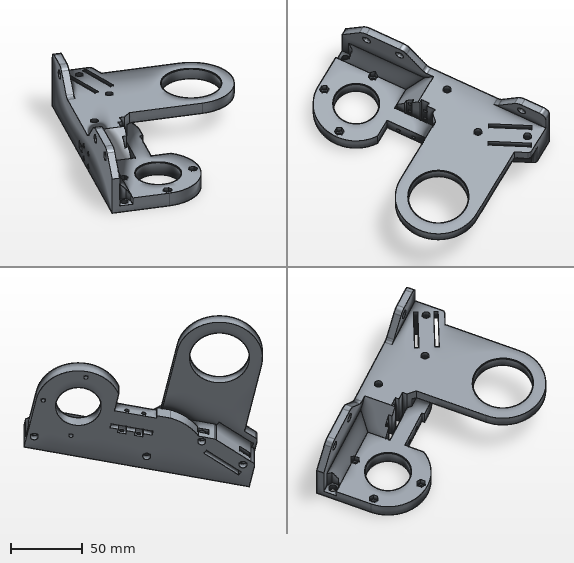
import cadquery as cq
import math

LENGTH = 160.0
HEIGHT = 43.0
DECK_TOP = 26.7
DECK_THICKNESS = 8.2
LOW_DECK_TOP = 10.0
WALL_THICKNESS = 5.5
WALL_ROUND = 5.0
SLANT_ROUND = 3.0
SLANT_ANGLE = 25.0

EAR_RADIUS = 8.0
EAR_HOLE_RADIUS = 3.0
EAR_HOLE_X = (19.0, 114.9, 140.8)

RING_RADIUS = 30.0
BIG_RING_X = 40.2
BIG_RING_Y = 89.1
BIG_BORE_RADIUS = 20.8
SMALL_RING_X = LENGTH - RING_RADIUS
SMALL_RING_Y = 41.1
SMALL_BORE_RADIUS = 15.8
BORE_CHAMFER = 0.5

DECK_SHOULDER_Y = 32.6
DECK_STEP_X = 88.2
LOW_DECK_X = 104.8
SLIT_LEFT = 75.0
SLIT_FRONT = 28.3
SLIT_BACK = 31.7
ARM_BACK = 42.9
ARM_TIP_Y = 45.0
BLOCK_SLANT_Y = 19.5
BLOCK_BACK = 34.2

SCREW_RADIUS = 2.7
NUT_FLATS = 8.2
NUT_SLOT_FLOOR = 5.1
NUT_SLOT_HEIGHT = 5.0
BACK_NUT_SCREWS = ((8.2, 17.3), (40.2, 30.2))
FRONT_NUT_SCREW = (75.0, 10.0)
CORNER_SCREW = (154.9, 10.0)
SMALL_SCREW_RADIUS = 1.5
SMALL_NUT_FLATS = 5.6
SMALL_NUT_DEPTH = 5.0
RING_SCREW_CIRCLE = 25.0
SENSOR_HOLE_X = (84.0, 96.0)
SENSOR_HOLE_Z = (3.2, 13.1)
SENSOR_NUT_WIDTH = 5.8
SENSOR_NUT_DEPTH = 2.7

STRAP_SLOT_LENGTH = 30.0
STRAP_SLOT_WIDTH = 3.0
STRAP_SLOT_CENTERS = ((16.2, 28.6), (22.4, 16.0))

DECK_BOTTOM = DECK_TOP - DECK_THICKNESS
DECK_LEFT = BIG_RING_X - RING_RADIUS
DECK_RIGHT = BIG_RING_X + RING_RADIUS
EAR_HOLE_Z = HEIGHT - EAR_RADIUS
SLANT = math.tan(math.radians(SLANT_ANGLE))
DIAGONAL = EAR_RADIUS * math.sqrt(0.5)
CUT_DEPTH = LENGTH
HALF_HEX_TURN = 30
HEX_FLATS_PER_CORNERS = math.cos(math.radians(HALF_HEX_TURN))
HALF_EAR_ARC = math.radians(22.5)


def prism(points, bottom, top):
    """Upright solid over a polygon in plan."""
    return cq.Workplane("XY").workplane(offset=bottom).polyline(points).close().extrude(top - bottom)


def through_holes(places, radius):
    """Vertical cylinders through the whole height."""
    return cq.Workplane("XY").pushPoints(places).circle(radius).extrude(HEIGHT)


def round_edge(body, radius, x, y, z):
    """Round the edge whose middle is nearest to the given point."""
    return body.edges(cq.selectors.NearestToPointSelector((x, y, z))).fillet(radius)


def hexagon(x, y, flats, bottom, height):
    """Hexagonal prism with a corner pointing along +Y."""
    corner_circle = flats / HEX_FLATS_PER_CORNERS
    body = cq.Workplane("XY").polygon(6, corner_circle).extrude(height)
    return body.rotate((0, 0, 0), (0, 0, 1), HALF_HEX_TURN).translate((x, y, bottom))


def front_wall():
    """Wall along the front with two raised ears joined by 45 degree flanks."""
    left_x, middle_x, right_x = EAR_HOLE_X
    flank_top = EAR_HOLE_Z + DIAGONAL
    flank_run = DIAGONAL + flank_top - DECK_TOP
    right_flank_end = flank_top - (LENGTH - right_x - DIAGONAL)
    arc_mid_x = EAR_RADIUS * math.sin(HALF_EAR_ARC)
    arc_mid_z = EAR_HOLE_Z + EAR_RADIUS * math.cos(HALF_EAR_ARC)
    wall = (
        cq.Workplane("XZ")
        .lineTo(0, HEIGHT)
        .lineTo(left_x, HEIGHT)
        .threePointArc((left_x + arc_mid_x, arc_mid_z), (left_x + DIAGONAL, flank_top))
        .lineTo(left_x + flank_run, DECK_TOP)
        .lineTo(middle_x - flank_run, DECK_TOP)
        .lineTo(middle_x - DIAGONAL, flank_top)
        .threePointArc((middle_x - arc_mid_x, arc_mid_z), (middle_x, HEIGHT))
        .lineTo(right_x, HEIGHT)
        .threePointArc((right_x + arc_mid_x, arc_mid_z), (right_x + DIAGONAL, flank_top))
        .lineTo(LENGTH, right_flank_end)
        .lineTo(LENGTH, 0)
        .close()
        .extrude(-WALL_THICKNESS)
    )
    middle_y = WALL_THICKNESS / 2
    rounded_corners = (
        (0, HEIGHT),
        (left_x + flank_run, DECK_TOP),
        (middle_x - flank_run, DECK_TOP),
    )
    for x, z in rounded_corners:
        wall = round_edge(wall, WALL_ROUND, x, middle_y, z)
    holes = (
        cq.Workplane("XZ")
        .pushPoints([(x, EAR_HOLE_Z) for x in EAR_HOLE_X])
        .circle(EAR_HOLE_RADIUS)
        .extrude(-WALL_THICKNESS)
    )
    return wall.cut(holes)


def upper_deck():
    """High plate ending in the big ring, with a slanted left shoulder."""
    slant_start_y = DECK_SHOULDER_Y - SLANT * DECK_LEFT
    deck = (
        cq.Workplane("XY")
        .workplane(offset=DECK_BOTTOM)
        .lineTo(0, slant_start_y)
        .lineTo(DECK_LEFT, DECK_SHOULDER_Y)
        .lineTo(DECK_LEFT, BIG_RING_Y)
        .threePointArc((BIG_RING_X, BIG_RING_Y + RING_RADIUS), (DECK_RIGHT, BIG_RING_Y))
        .lineTo(DECK_RIGHT, SLIT_BACK + SLIT_LEFT - DECK_RIGHT)
        .lineTo(SLIT_LEFT, SLIT_BACK)
        .lineTo(SLIT_LEFT, SLIT_FRONT)
        .lineTo(DECK_STEP_X, SLIT_FRONT)
        .lineTo(DECK_STEP_X, 0)
        .close()
        .extrude(DECK_THICKNESS)
    )
    return round_edge(deck, SLANT_ROUND, 0, slant_start_y, DECK_TOP - DECK_THICKNESS / 2)


def block():
    """Solid block that carries the upper deck, with a slanted left end."""
    points = [
        (0, 0),
        (0, BLOCK_SLANT_Y),
        ((BLOCK_BACK - BLOCK_SLANT_Y) / SLANT, BLOCK_BACK),
        (SLIT_LEFT + SLIT_BACK - BLOCK_BACK, BLOCK_BACK),
        (SLIT_LEFT, SLIT_BACK),
        (SLIT_LEFT, SLIT_FRONT),
        (DECK_STEP_X, SLIT_FRONT),
        (DECK_STEP_X, 0),
    ]
    body = prism(points, 0, DECK_BOTTOM)
    return round_edge(body, SLANT_ROUND, 0, BLOCK_SLANT_Y, DECK_BOTTOM / 2)


def low_deck():
    """Low plate with the small ring, and the curved arm that reaches under the upper deck."""
    clip_y = SMALL_RING_Y + math.sqrt(RING_RADIUS**2 - (SMALL_RING_X - LOW_DECK_X) ** 2)
    ring_plate = (
        cq.Workplane("XY")
        .moveTo(LOW_DECK_X, 0)
        .lineTo(LOW_DECK_X, clip_y)
        .threePointArc((SMALL_RING_X, SMALL_RING_Y + RING_RADIUS), (LENGTH, SMALL_RING_Y))
        .lineTo(LENGTH, 0)
        .close()
        .extrude(LOW_DECK_TOP)
    )
    arm_curve_end = (65.6, ARM_TIP_Y)
    arm_curve_middle = (51.2, 40.3)
    arm_curve_start = (43.2, BLOCK_BACK)
    arm = (
        cq.Workplane("XY")
        .moveTo(*arm_curve_start)
        .threePointArc(arm_curve_middle, arm_curve_end)
        .lineTo(SLIT_LEFT, ARM_TIP_Y)
        .lineTo(SLIT_LEFT, ARM_BACK)
        .lineTo(LOW_DECK_X, ARM_BACK)
        .lineTo(LOW_DECK_X, SLIT_BACK)
        .lineTo(arm_curve_start[0], SLIT_BACK)
        .close()
        .extrude(LOW_DECK_TOP)
    )
    return ring_plate.union(arm)


def ramps():
    """45 degree ramps from the upper deck and from the wall down to the low deck."""
    deck_ramp = (
        cq.Workplane("XZ")
        .moveTo(DECK_STEP_X, 0)
        .lineTo(DECK_STEP_X, DECK_TOP)
        .lineTo(LOW_DECK_X, LOW_DECK_TOP)
        .lineTo(LOW_DECK_X, 0)
        .close()
        .extrude(-SLIT_FRONT)
    )
    wall_ramp_run = 9.5
    wall_ramp = (
        cq.Workplane("YZ")
        .workplane(offset=DECK_STEP_X)
        .moveTo(WALL_THICKNESS, 0)
        .lineTo(WALL_THICKNESS, LOW_DECK_TOP + wall_ramp_run)
        .lineTo(WALL_THICKNESS + wall_ramp_run, LOW_DECK_TOP)
        .lineTo(WALL_THICKNESS + wall_ramp_run, 0)
        .close()
        .extrude(LENGTH - DECK_STEP_X)
    )
    return deck_ramp.union(wall_ramp)


def bore(x, y, radius, top):
    """Vertical bore with a small chamfer at its top rim."""
    hole = cq.Workplane("XY").center(x, y).circle(radius).extrude(top)
    rim = (
        cq.Workplane("XY")
        .workplane(offset=top - BORE_CHAMFER)
        .center(x, y)
        .circle(radius)
        .workplane(offset=BORE_CHAMFER)
        .circle(radius + BORE_CHAMFER)
        .loft()
    )
    return hole.union(rim)


def nut_slot(x, y, direction):
    """Hexagonal nut seat with a straight entry along Y; direction is +1 to the back, -1 to the front."""
    reach = 16.0
    entry = cq.Workplane("XY").box(NUT_FLATS, reach, NUT_SLOT_HEIGHT, centered=(True, True, False))
    entry = entry.translate((x, y + direction * reach / 2, NUT_SLOT_FLOOR))
    return hexagon(x, y, NUT_FLATS, NUT_SLOT_FLOOR, NUT_SLOT_HEIGHT).union(entry)


def mounting_screws():
    """Vertical screw holes and the nut slots that serve them."""
    cutter = through_holes([*BACK_NUT_SCREWS, FRONT_NUT_SCREW, CORNER_SCREW], SCREW_RADIUS)
    for x, y in BACK_NUT_SCREWS:
        cutter = cutter.union(nut_slot(x, y, 1))
    cutter = cutter.union(nut_slot(*FRONT_NUT_SCREW, -1))

    x, y = CORNER_SCREW
    corner_width = NUT_FLATS / HEX_FLATS_PER_CORNERS
    pocket_height = HEIGHT - NUT_SLOT_FLOOR
    seat = hexagon(x, y, NUT_FLATS, NUT_SLOT_FLOOR, pocket_height)
    opening = cq.Workplane("XY").box(LENGTH - x, corner_width, pocket_height, centered=(False, True, False))
    pocket = seat.union(opening.translate((x, y, NUT_SLOT_FLOOR)))
    behind_wall = cq.Workplane("XY").box(LENGTH, LENGTH, HEIGHT, centered=False)
    return cutter.union(pocket.intersect(behind_wall.translate((0, WALL_THICKNESS, 0))))


def ring_screws():
    """Three small screw holes with nut pockets around the small bore."""
    cutter = cq.Workplane("XY")
    for angle in (-90, 0, 90):
        x = SMALL_RING_X + RING_SCREW_CIRCLE * math.cos(math.radians(angle))
        y = SMALL_RING_Y + RING_SCREW_CIRCLE * math.sin(math.radians(angle))
        nut = hexagon(x, y, SMALL_NUT_FLATS, LOW_DECK_TOP - SMALL_NUT_DEPTH, HEIGHT)
        cutter = cutter.add(nut).add(through_holes([(x, y)], SMALL_SCREW_RADIUS))
    return cutter.combine()


def sensor_holes():
    """Small holes running along Y into the slit, with upright nut grooves on the slit's front face."""
    cutter = (
        cq.Workplane("XZ")
        .pushPoints([(x, z) for x in SENSOR_HOLE_X for z in SENSOR_HOLE_Z])
        .circle(SMALL_SCREW_RADIUS)
        .extrude(-CUT_DEPTH)
    )
    for x in SENSOR_HOLE_X:
        groove = cq.Workplane("XY").box(
            SENSOR_NUT_WIDTH, SENSOR_NUT_DEPTH, DECK_TOP, centered=(True, False, False)
        )
        cutter = cutter.union(groove.translate((x, SLIT_FRONT - SENSOR_NUT_DEPTH, 0)))
    return cutter


def strap_slots():
    """Two parallel slanted slots through the deck and the block."""
    slot = cq.Workplane("XY").rect(STRAP_SLOT_LENGTH, STRAP_SLOT_WIDTH).extrude(DECK_TOP)
    slot = slot.rotate((0, 0, 0), (0, 0, 1), SLANT_ANGLE)
    cutter = cq.Workplane("XY")
    for x, y in STRAP_SLOT_CENTERS:
        cutter = cutter.add(slot.translate((x, y, 0)))
    return cutter.combine()


body = front_wall().union(upper_deck()).union(block()).union(low_deck()).union(ramps())
body = body.cut(bore(BIG_RING_X, BIG_RING_Y, BIG_BORE_RADIUS, DECK_TOP))
body = body.cut(bore(SMALL_RING_X, SMALL_RING_Y, SMALL_BORE_RADIUS, LOW_DECK_TOP))
body = body.cut(mounting_screws())
body = body.cut(ring_screws())
body = body.cut(sensor_holes())
result = body.cut(strap_slots())